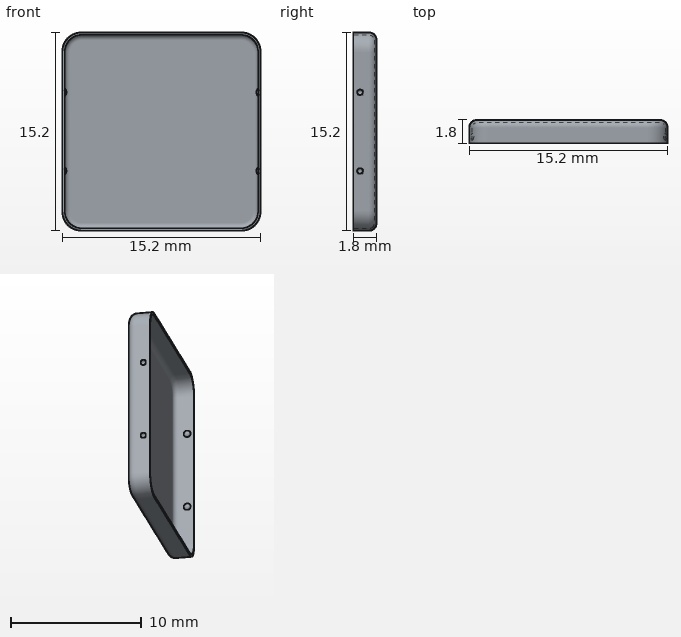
import cadquery as cq
side = 15.2
depth = 1.8
wall = 0.2
corner_radius = 1.49
edge_radius = 0.6

dimple_radius = 0.21
bump_radius = 0.33
dimple_from_rim = 0.52
dimple_spacing = 6.02

rim_y = -depth / 2
dimple_y = rim_y + dimple_from_rim


def rounded_block(inset):
    """Solid block from the rim to the back, inset evenly from the outer skin."""
    width = side - 2 * inset
    block = cq.Workplane("XZ", origin=(0, rim_y, 0)).rect(width, width).extrude(-(depth - inset))
    block = block.edges("|Y").fillet(corner_radius - inset)
    return block.faces(">Y").edges().fillet(edge_radius - inset)


def sphere_at(point, radius):
    """Sphere whose poles lie along X, square to the dimpled walls."""
    return cq.Workplane("YZ").sphere(radius).translate(point)


dimple_centers = [
    (x, dimple_y, z)
    for x in (-side / 2, side / 2)
    for z in (-dimple_spacing / 2, dimple_spacing / 2)
]

cavity = rounded_block(wall)
for center in dimple_centers:
    cavity = cavity.cut(sphere_at(center, bump_radius))

result = rounded_block(0).cut(cavity)
for center in dimple_centers:
    result = result.cut(sphere_at(center, dimple_radius))